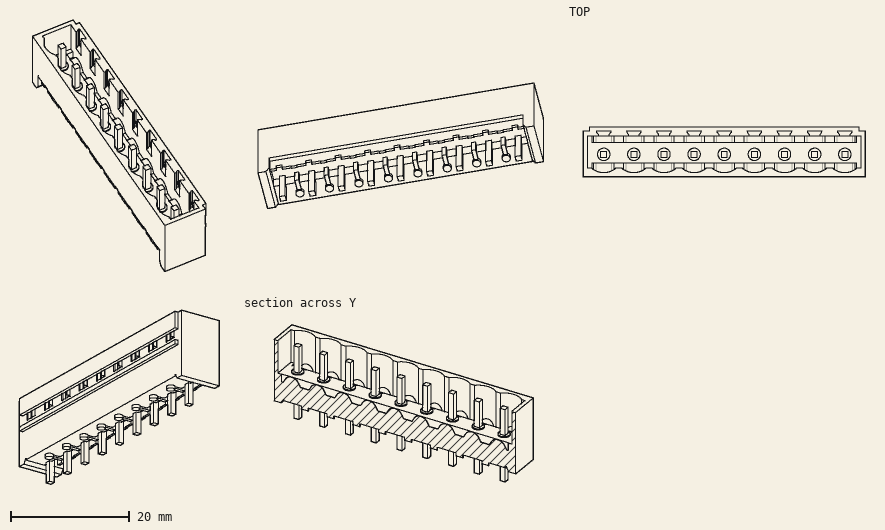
import cadquery as cq
import math

length = 47.6
depth = 7.75
height = 12.0
center_x = length / 2

pin_count = 9
first_pin_x = 3.5
pitch = (length - 2 * first_pin_x) / (pin_count - 1)
pin_y = 3.8
pin_size = 1.0
pin_tip_below_base = 3.2
pin_top = 10.9
collar_diameter = 2.1
collar_height = 0.2
pin_xs = [first_pin_x + i * pitch for i in range(pin_count)]
gap_xs = [x + pitch / 2 for x in pin_xs[:-1]]

end_wall = 0.75
front_wall = 1.52
back_wall = 0.85
cavity_back = depth - back_wall
scallop_radius = 3.1
trough_floor = 4.2
trough_end = 1.5
rail_front = 2.35
rail_back = 5.75

hump_width = 3.45
hump_arc_width = 2.55
flank_angle = math.radians(60)

ledge_inset = 1.05
ledge_depth = 0.65
ledge_height = 3.05
rib_depth = 0.6
rib_bottom = 6.05
rib_height = 0.75
slot_outer_width = 2.4
slot_inner_width = 1.8
slot_straight = 0.25
slot_floor = 7.75

leg_width = 1.9
leg_chamfer_x = 0.52
leg_chamfer_z = 0.85
recess_depth = 0.7
recess_top = 3.6
skirt_thickness = 0.45
skirt_bottom = 1.35
notch_top = 2.05
hollow_roof = 2.5
base_front = pin_y
base_bottom = 0.55
foot_diameter = 1.4
foot_web_width = 0.7
foot_web_length = 0.7
foot_web_bottom = 0.3
tab_width = 1.0
tab_height = 0.15

hump_radius = hump_arc_width / 2 / math.sin(flank_angle)
flank_height = (hump_width - hump_arc_width) / 2 * math.tan(flank_angle)
hump_height = flank_height + hump_radius * (1 - math.cos(flank_angle))
rail_top = trough_floor + hump_height

skirt_back = recess_depth + skirt_thickness
foot_y = (base_front + depth) / 2


def block(x0, x1, y0, y1, z0, z1):
    """Box between two opposite corners."""
    return cq.Workplane("XY").box(x1 - x0, y1 - y0, z1 - z0, centered=False).translate((x0, y0, z0))


def bar(x, width, y0, y1, z0, z1):
    """Box centred on x."""
    return block(x - width / 2, x + width / 2, y0, y1, z0, z1)


def post(x, y, diameter, z0, z1):
    """Upright cylinder."""
    return cq.Workplane("XY", origin=(x, y, z0)).circle(diameter / 2).extrude(z1 - z0)


def cavity():
    """Opening above the rail, with one scallop in the front wall per contact, plus the two troughs."""
    opening = block(end_wall, length - end_wall, front_wall, cavity_back, rail_top, height)
    front_trough = block(trough_end, length - trough_end, front_wall, rail_front, trough_floor, height)
    back_trough = block(trough_end, length - trough_end, rail_back, cavity_back, trough_floor, height)
    void = opening.union(front_trough).union(back_trough)
    front_wall_zone = block(0, length, 0, front_wall, trough_floor, height)
    for x in pin_xs:
        scallop = post(x, pin_y, 2 * scallop_radius, trough_floor, height).intersect(front_wall_zone)
        void = void.union(scallop)
    return void


def hump(x, y0, y1):
    """Round-topped ridge along Y with straight sloping flanks."""
    foot = hump_width / 2
    shoulder = hump_arc_width / 2
    return (
        cq.Workplane("XZ", origin=(x, y1, trough_floor))
        .moveTo(-foot, 0)
        .lineTo(-shoulder, flank_height)
        .threePointArc((0, hump_height), (shoulder, flank_height))
        .lineTo(foot, 0)
        .close()
        .extrude(y1 - y0)
    )


def dovetail_slot(x):
    """Slot through the back wall: narrow inside, wide outside, with a taper between straight stretches."""
    outer = slot_outer_width / 2
    inner = slot_inner_width / 2
    taper_front = cavity_back + slot_straight
    taper_back = depth - slot_straight
    right_side = [(inner, cavity_back), (inner, taper_front), (outer, taper_back), (outer, depth)]
    left_side = [(-px, py) for px, py in reversed(right_side)]
    return (
        cq.Workplane("XY", origin=(x, 0, slot_floor))
        .polyline(right_side + left_side)
        .close()
        .extrude(height - slot_floor)
    )


def underside():
    """Front recess, thin front skirt with a notch per contact, hollow behind it and raised base."""
    x0 = leg_width
    x1 = length - leg_width
    void = block(x0, x1, 0, recess_depth, 0, recess_top)
    void = void.union(block(x0, x1, recess_depth, skirt_back, 0, skirt_bottom))
    void = void.union(block(x0, x1, skirt_back, base_front, 0, hollow_roof))
    void = void.union(block(x0, x1, base_front, depth, 0, base_bottom))
    for x in pin_xs:
        void = void.union(bar(x, pin_size, recess_depth, skirt_back, 0, notch_top))
    return void


def leg_chamfer():
    """Wedge removed along the inner lower edge of the left leg."""
    return (
        cq.Workplane("XZ", origin=(leg_width, depth, 0))
        .polyline([(-leg_chamfer_x, 0), (0, 0), (0, leg_chamfer_z)])
        .close()
        .extrude(depth)
    )


def support_foot(x):
    """Round foot under the base, with a web out of the base front and a small tab on the skirt."""
    foot = post(x, foot_y, foot_diameter, 0, hollow_roof)
    web = bar(x, foot_web_width, base_front - foot_web_length, foot_y, foot_web_bottom, hollow_roof)
    tab = bar(x, tab_width, recess_depth, skirt_back, skirt_bottom - tab_height, skirt_bottom)
    return foot.union(web).union(tab)


def contact(x):
    """Square pin through the floor with a low round collar at its base."""
    half = pin_size / 2
    pin = bar(x, pin_size, pin_y - half, pin_y + half, -pin_tip_below_base, pin_top)
    return pin.union(post(x, pin_y, collar_diameter, rail_top, rail_top + collar_height))


body = block(0, length, 0, depth, 0, height).cut(cavity()).cut(underside())
left_wedge = leg_chamfer()
right_wedge = left_wedge.mirror("YZ", (center_x, 0, 0))
body = body.cut(left_wedge).cut(right_wedge)

for pin_x in pin_xs:
    body = body.cut(dovetail_slot(pin_x))

ledge_end = length - ledge_inset
body = body.union(block(ledge_inset, ledge_end, depth, depth + ledge_depth, height - ledge_height, height))
body = body.union(block(ledge_inset, ledge_end, depth, depth + rib_depth, rib_bottom, rib_bottom + rib_height))

front_hump_start = pin_y - scallop_radius
for pin_x in pin_xs:
    scallop_zone = post(pin_x, pin_y, 2 * scallop_radius, trough_floor, rail_top)
    body = body.union(hump(pin_x, front_hump_start, rail_front).intersect(scallop_zone))
    body = body.union(hump(pin_x, rail_back, cavity_back))
    body = body.union(contact(pin_x))
for gap_x in gap_xs:
    body = body.union(support_foot(gap_x))

result = body